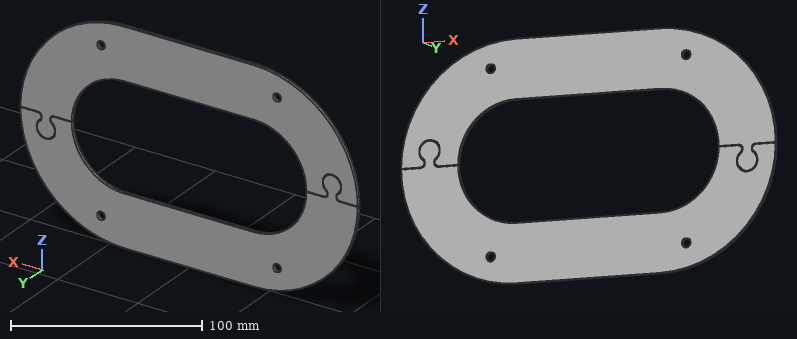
import cadquery as cq
import math

length = 211.0
height = 130.0
thickness = 2.0
band_width = 32.0

hole_diameter = 4.9
hole_x = 55.0
hole_z = 50.0

gap = 0.5
knob_radius = 5.7
neck_fillet = 2.3
neck_half_width = 2.7

joint_x = (length - band_width) / 2
fillet_x = neck_half_width + neck_fillet
knob_z = neck_fillet + math.sqrt((knob_radius + neck_fillet) ** 2 - fillet_x ** 2)


def oval(oval_length, oval_height):
    return cq.Workplane("XZ").slot2D(oval_length, oval_height).extrude(thickness / 2, both=True)


def ring():
    opening = oval(length - 2 * band_width, height - 2 * band_width)
    holes = (
        cq.Workplane("XZ")
        .rect(2 * hole_x, 2 * hole_z, forConstruction=True)
        .vertices()
        .circle(hole_diameter / 2)
        .extrude(thickness, both=True)
    )
    return oval(length, height).cut(opening).cut(holes)


def knob(growth):
    """Upward knob with its neck at the left joint; growth offsets its outline outward."""
    radius = knob_radius + growth
    fillet = neck_fillet - growth
    tilt = math.atan2(knob_z - neck_fillet, -fillet_x)
    meet_x = fillet_x + fillet * math.cos(tilt)
    meet_z = neck_fillet + fillet * math.sin(tilt)
    middle_angle = (tilt + 1.5 * math.pi) / 2
    middle_x = fillet_x + fillet * math.cos(middle_angle)
    middle_z = neck_fillet + fillet * math.sin(middle_angle)
    return (
        cq.Workplane("XZ")
        .moveTo(fillet_x, growth)
        .threePointArc((middle_x, middle_z), (meet_x, meet_z))
        .threePointArc((0, knob_z + radius), (-meet_x, meet_z))
        .threePointArc((-middle_x, middle_z), (-fillet_x, growth))
        .close()
        .extrude(thickness / 2, both=True)
        .translate((-joint_x, 0, 0))
    )


def half_turn(body):
    return body.rotate((0, 0, 0), (0, 1, 0), 180)


def half_ring():
    """Lower half: a knob on the left and a matching socket on the right."""
    upper_space = (
        cq.Workplane("XY")
        .box(2 * length, 2 * thickness, height, centered=(True, True, False))
        .translate((0, 0, -gap / 2))
    )
    socket = half_turn(knob(gap / 2))
    return ring().cut(upper_space).union(knob(-gap / 2)).cut(socket)


lower_half = half_ring().solids()
upper_half = half_turn(lower_half)

result = cq.Compound.makeCompound([lower_half.val(), upper_half.val()])